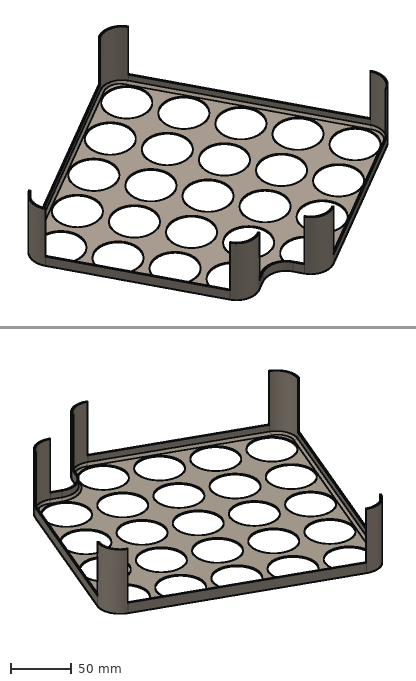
import cadquery as cq

side = 250.0
notch = 50.0
corner_radius = 20.0
rim_height = 10.0
post_height = 61.2

wall = 1.38
floor = 1.2
bevel = 2.5
floor_outer_radius = 13.8
floor_bend_radius = 25.0

grid_count = 5
hole_diameter = 42.5
hole_pitch = 49.5


def tray_block(height, inset=0.0, outer_radius=corner_radius, bend_radius=corner_radius):
    """Rounded square with one notched corner, drawn in by inset on every side."""
    low = inset
    high = side - inset
    step_x = side - notch - inset
    step_y = notch + inset
    notch_bend = (step_x, step_y)
    outline = [(low, low), (step_x, low), notch_bend, (high, step_y), (high, high), (low, high)]
    block = cq.Workplane("XY").polyline(outline).close().extrude(height)
    for x, y in outline:
        radius = bend_radius if (x, y) == notch_bend else outer_radius
        corner = cq.selectors.NearestToPointSelector((x, y, height / 2))
        block = block.edges("|Z").edges(corner).fillet(radius)
    return block


def cavity():
    """Space inside the wall, widening over a bevel from the floor up to the wall."""
    upper = tray_block(post_height, wall, corner_radius - wall, corner_radius + wall)
    lower = tray_block(post_height, wall + bevel, floor_outer_radius, floor_bend_radius)
    upper = upper.translate((0, 0, floor + bevel))
    lower = lower.translate((0, 0, floor))
    wires = [block.faces("<Z").val().outerWire() for block in (lower, upper)]
    sloped_space = cq.Solid.makeLoft(wires, True)
    return upper.union(cq.Workplane(sloped_space))


def corner_posts():
    """Square columns that keep the wall at full height around each outer corner."""
    half = corner_radius / 2
    near = half
    far = side - half
    centers = [
        (near, near),
        (side - notch - half, near),
        (far, notch + half),
        (far, far),
        (near, far),
    ]
    return (
        cq.Workplane("XY")
        .pushPoints(centers)
        .rect(corner_radius, corner_radius)
        .extrude(post_height)
    )


def grid_holes():
    """Round openings, leaving out the one that would fall in the notch."""
    first = side / 2 - hole_pitch * (grid_count - 1) / 2
    centers = []
    for column in range(grid_count):
        for row in range(grid_count):
            in_notch = column == grid_count - 1 and row == 0
            if not in_notch:
                centers.append((first + column * hole_pitch, first + row * hole_pitch))
    return cq.Workplane("XY").pushPoints(centers).circle(hole_diameter / 2).extrude(rim_height)


rim = tray_block(rim_height)
posts = tray_block(post_height).intersect(corner_posts())
result = rim.union(posts).cut(cavity()).cut(grid_holes())